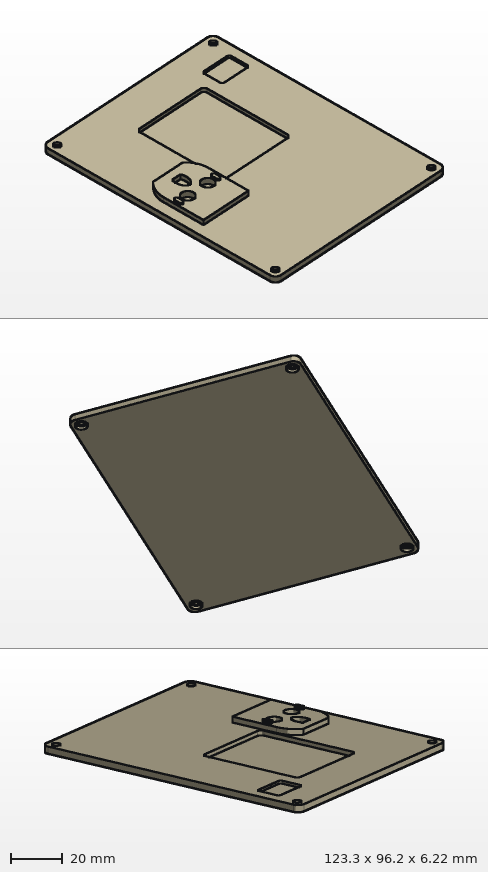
import cadquery as cq

PLATE_LENGTH = 123.3
PLATE_WIDTH = 96.2
PLATE_THICKNESS = 3.0
PLATE_CORNER_RADIUS = 3.0

SCREW_HOLE_DIAMETER = 3.3
SCREW_HOLE_INSET = 4.0
COUNTERBORE_DIAMETER = 5.0
COUNTERBORE_DEPTH = 1.7

LARGE_POCKET_LENGTH = 45.8
LARGE_POCKET_WIDTH = 37.8
LARGE_POCKET_X = -18.5
LARGE_POCKET_Y = 2.5
LARGE_POCKET_DEPTH = 2.0
LARGE_POCKET_RADIUS = 1.8

SMALL_POCKET_LENGTH = 10.6
SMALL_POCKET_WIDTH = 15.2
SMALL_POCKET_X = -42.7
SMALL_POCKET_Y = 35.2
SMALL_POCKET_DEPTH = 1.2
SMALL_POCKET_RADIUS = 1.2

PAD_LEFT = -12.5
PAD_RIGHT = 18.2
PAD_WIDTH = 25.4
PAD_Y = -29.8
PAD_HEIGHT = 2.4
PAD_ARC_LENGTH = 9.5
PAD_ARC_DROP = 4.4

ROUND_HOLE_DIAMETER = 6.12
ROUND_HOLE_X = 3.3
ROUND_HOLE_SPACING = 11.3
ROUND_HOLE_DEPTH = 3.0

D_HALF_LENGTH = 4.5
D_HALF_WIDTH = 2.8
D_CENTER_X = -5.5
D_FLAT_X = -8.0
D_DEPTH = PAD_HEIGHT

STUD_LENGTH = 4.2
STUD_WIDTH = 2.0
STUD_HEIGHT = 0.82
STUD_X = 3.4
STUD_Y = -30.2
STUD_SPACING = 20.9

PAD_TOP = PLATE_THICKNESS + PAD_HEIGHT


def make_plate():
    plate = cq.Workplane("XY").box(
        PLATE_LENGTH, PLATE_WIDTH, PLATE_THICKNESS, centered=(True, True, False)
    )
    plate = plate.edges("|Z").fillet(PLATE_CORNER_RADIUS)
    hole_pitch_x = PLATE_LENGTH - 2 * SCREW_HOLE_INSET
    hole_pitch_y = PLATE_WIDTH - 2 * SCREW_HOLE_INSET
    return (
        plate.faces("<Z")
        .workplane()
        .rect(hole_pitch_x, hole_pitch_y, forConstruction=True)
        .vertices()
        .cboreHole(SCREW_HOLE_DIAMETER, COUNTERBORE_DIAMETER, COUNTERBORE_DEPTH)
    )


def make_pocket(x, y, length, width, depth, corner_radius):
    """Tool for a rounded rectangular recess sunk from the plate's top face."""
    pocket = cq.Workplane("XY").box(length, width, depth, centered=(True, True, False))
    pocket = pocket.edges("|Z").fillet(corner_radius)
    return pocket.translate((x, y, PLATE_THICKNESS - depth))


def make_pad():
    """Pad with two arc corners that run tangent into its long sides."""
    half_width = PAD_WIDTH / 2
    arc_end_x = PAD_LEFT + PAD_ARC_LENGTH
    arc_radius = (PAD_ARC_LENGTH**2 + PAD_ARC_DROP**2) / (2 * PAD_ARC_DROP)
    flat_half = half_width - PAD_ARC_DROP
    return (
        cq.Workplane("XY", origin=(0, PAD_Y, PLATE_THICKNESS))
        .moveTo(PAD_RIGHT, -half_width)
        .lineTo(PAD_RIGHT, half_width)
        .lineTo(arc_end_x, half_width)
        .radiusArc((PAD_LEFT, flat_half), -arc_radius)
        .lineTo(PAD_LEFT, -flat_half)
        .radiusArc((arc_end_x, -half_width), -arc_radius)
        .close()
        .extrude(PAD_HEIGHT)
    )


def make_d_hole():
    """Tool for the D-shaped hole: an elliptic cylinder trimmed at the flat."""
    floor_z = PAD_TOP - D_DEPTH
    ellipse = (
        cq.Workplane("XY", origin=(D_CENTER_X, PAD_Y, floor_z))
        .ellipse(D_HALF_LENGTH, D_HALF_WIDTH)
        .extrude(D_DEPTH)
    )
    kept_side = (
        cq.Workplane("XY")
        .box(2 * D_HALF_LENGTH, 2 * D_HALF_WIDTH, D_DEPTH, centered=(False, True, False))
        .translate((D_FLAT_X, PAD_Y, floor_z))
    )
    return ellipse.intersect(kept_side)


def make_round_holes():
    half_spacing = ROUND_HOLE_SPACING / 2
    return (
        cq.Workplane("XY", origin=(ROUND_HOLE_X, PAD_Y, PAD_TOP - ROUND_HOLE_DEPTH))
        .pushPoints([(0, -half_spacing), (0, half_spacing)])
        .circle(ROUND_HOLE_DIAMETER / 2)
        .extrude(ROUND_HOLE_DEPTH)
    )


def make_studs():
    half_spacing = STUD_SPACING / 2
    return (
        cq.Workplane("XY", origin=(STUD_X, STUD_Y, PAD_TOP))
        .pushPoints([(0, -half_spacing), (0, half_spacing)])
        .slot2D(STUD_LENGTH, STUD_WIDTH)
        .extrude(STUD_HEIGHT)
    )


large_pocket = make_pocket(
    LARGE_POCKET_X,
    LARGE_POCKET_Y,
    LARGE_POCKET_LENGTH,
    LARGE_POCKET_WIDTH,
    LARGE_POCKET_DEPTH,
    LARGE_POCKET_RADIUS,
)
small_pocket = make_pocket(
    SMALL_POCKET_X,
    SMALL_POCKET_Y,
    SMALL_POCKET_LENGTH,
    SMALL_POCKET_WIDTH,
    SMALL_POCKET_DEPTH,
    SMALL_POCKET_RADIUS,
)

result = make_plate().cut(large_pocket).cut(small_pocket)
result = result.union(make_pad())
result = result.cut(make_round_holes()).cut(make_d_hole())
result = result.union(make_studs())